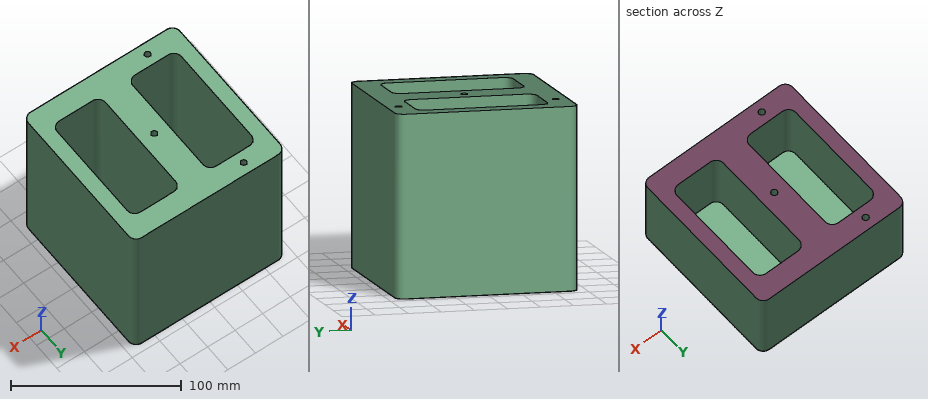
import cadquery as cq

side = 110.0
corner_radius = 5.5

wall = 10.0
pocket_gap = 20.0
pocket_width = (side - 2 * wall - pocket_gap) / 2
pocket_length = 80.0
pocket_radius = 5.5
floor_thickness = wall
pocket_offset = (pocket_gap + pocket_width) / 2

hole_diameter = 4.0
side_hole_x = -30.0
side_hole_y = 47.5
hole_centers = [(0, 0), (side_hole_x, side_hole_y), (side_hole_x, -side_hole_y)]


def make_block():
    return cq.Workplane("XY").rect(side, side).extrude(side).edges("|Z").fillet(corner_radius)


def make_pockets():
    return (
        cq.Workplane("XY", origin=(0, 0, floor_thickness))
        .pushPoints([(-pocket_offset, 0), (pocket_offset, 0)])
        .rect(pocket_width, pocket_length)
        .extrude(side - floor_thickness)
        .edges("|Z")
        .fillet(pocket_radius)
    )


def make_holes():
    return cq.Workplane("XY").pushPoints(hole_centers).circle(hole_diameter / 2).extrude(side)


result = make_block().cut(make_pockets()).cut(make_holes())